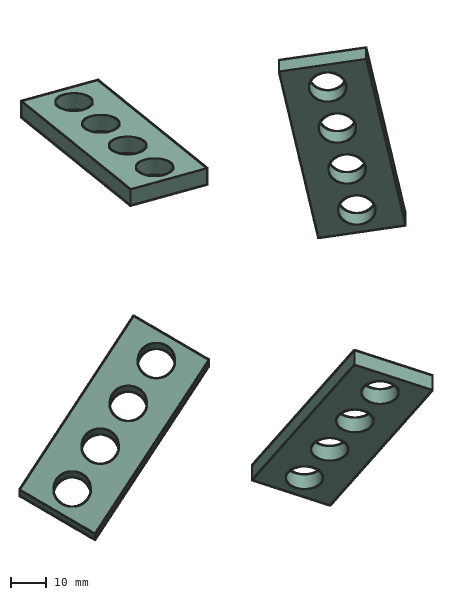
import cadquery as cq

plate_length = 61.0
plate_width = 25.0
plate_thickness = 5.25

hole_count = 4
hole_diameter = 10.5
hole_pitch = 15.0


def make_plate():
    """Flat rectangular plate centred in X and Y, resting on Z = 0."""
    return cq.Workplane("XY").box(
        plate_length, plate_width, plate_thickness, centered=(True, True, False)
    )


def cut_hole_row(plate):
    """Cut the evenly spaced holes along X through the full thickness."""
    return (
        plate.faces(">Z")
        .workplane()
        .rarray(hole_pitch, plate_width, hole_count, 1)
        .hole(hole_diameter)
    )


result = cut_hole_row(make_plate())